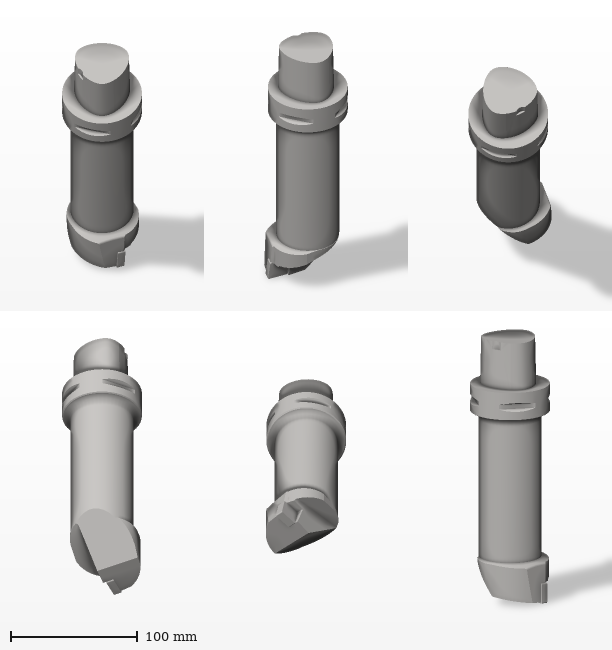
import cadquery as cq
import math


coupling_height = 38.0
coupling_base_radius = 22.2
coupling_top_radius = 21.3
lobe_height = 1.5
side_half_angle = 23
curve_steps = 8
notch_radius = 5.5
notch_axis_y = -23.6
notch_depth = 6.5

flange_radius = 63.0 / 2
flange_height = 22.2
neck_radius = 50.0 / 2
rim_chamfer = 0.6
neck_fillet = 5.5
groove_count = 4
groove_z = -12.0
groove_floor_distance = 28.0
groove_floor_height = 3.8
groove_mouth_height = 7.2

tip_z = coupling_height - 213
shoulder_z = -140.8
shoulder_slope = 0.33
shoulder_reach = 42.5
shoulder_fillet = 1.7
shoulder_edge_point = (30.2, -7.5, -143.1)
head_front_y = -28.8
head_back_y = 25.3
front_flat_end_x = 5.1
back_flat_end_x = 12.8
left_arc_radius = 22.4
right_arc_radius = 31.0
right_arc_end_y = -3.2
back_arc_start = (30.9, 3.8)
back_arc_middle = (25.5, 17.0)
land_radius = 25.3
land_end_angle = 140
reach = 127.8

slant_top_x = -neck_radius
slant_top_z = -133.0
slant_slope = 1.297

flute_roof_x = -19.4
flute_roof_z = -140.2
flute_roof_slope = 0.36
flute_wall_y = 5.1
flute_wall_z = -172.5
flute_wall_slope = 0.28
flute_fillet = 2.1

end_face_point = (4.7, 5.3, -171.7)
end_face_slope = 0.1
side_face_point = (28.1, -18.3, -143.5)
side_face_slope_y = 0.19
side_face_slope_z = 0.08

insert_tip = (35.0, 0.5, tip_z)
insert_tilt = 0.105
insert_edge = 16.0
insert_edge_angle = 5
insert_thickness = 6.4
insert_corner_radius = 0.9
seat_headroom = 8.5


def lobe_point(mean_radius, degrees):
    """Point of a constant-width three-lobed curve with one lobe toward +Y."""
    angle = math.radians(degrees)
    phase = 3 * (angle - math.pi / 2)
    support = mean_radius + lobe_height * math.cos(phase)
    slide = -3 * lobe_height * math.sin(phase)
    return (
        support * math.cos(angle) - slide * math.sin(angle),
        support * math.sin(angle) + slide * math.cos(angle),
    )


def draw_lobed_outline(sketch, mean_radius):
    """Three shallow sides and three lobes, each one curve."""
    side_start = -90 - side_half_angle
    side_span = 2 * side_half_angle
    lobe_span = 120 - side_span
    outline = sketch.moveTo(*lobe_point(mean_radius, side_start))
    for side in range(3):
        start = side_start + 120 * side
        for span in (side_span, lobe_span):
            steps = [start + span * i / curve_steps for i in range(1, curve_steps + 1)]
            outline = outline.spline([lobe_point(mean_radius, step) for step in steps],
                                     includeCurrent=True)
            start += span
    return outline.close()


def make_coupling():
    base = draw_lobed_outline(cq.Workplane("XY"), coupling_base_radius)
    top_plane = base.workplane(offset=coupling_height)
    shank = draw_lobed_outline(top_plane, coupling_top_radius).loft(ruled=True)
    notch = (
        cq.Workplane("XY", origin=(0, notch_axis_y, coupling_height - notch_depth))
        .circle(notch_radius).extrude(notch_depth)
    )
    return shank.cut(notch)


def make_flange_and_neck():
    arc_top_z = -flange_height - rim_chamfer
    arc_top_radius = neck_radius + neck_fillet
    arc_offset = neck_fillet * (1 - math.sqrt(0.5))
    return (
        cq.Workplane("XZ")
        .moveTo(0, 0)
        .lineTo(flange_radius, 0)
        .lineTo(flange_radius, -flange_height)
        .lineTo(arc_top_radius, arc_top_z)
        .threePointArc((neck_radius + arc_offset, arc_top_z - arc_offset),
                       (neck_radius, arc_top_z - neck_fillet))
        .lineTo(neck_radius, tip_z)
        .lineTo(0, tip_z)
        .close()
        .revolve(360, (0, 0), (0, 1))
    )


def make_groove(angle):
    """Straight trapezoidal groove across the flange rim."""
    rim_depth = flange_radius - groove_floor_distance
    return (
        cq.Workplane("XZ")
        .moveTo(groove_floor_distance, groove_z - groove_floor_height / 2)
        .lineTo(groove_floor_distance + rim_depth, groove_z - groove_mouth_height / 2)
        .lineTo(groove_floor_distance + rim_depth, groove_z + groove_mouth_height / 2)
        .lineTo(groove_floor_distance, groove_z + groove_floor_height / 2)
        .close()
        .extrude(flange_radius, both=True)
        .rotate((0, 0, 0), (0, 0, 1), angle)
    )


def make_head_block():
    """Off-centre head under a conical shoulder."""
    left_center_y = head_front_y + left_arc_radius
    right_center_y = head_front_y + right_arc_radius
    half = math.sqrt(0.5)
    rise = right_arc_end_y - right_center_y
    right_arc_end_x = front_flat_end_x + math.sqrt(right_arc_radius**2 - rise**2)
    land_end = math.radians(land_end_angle)
    land_middle = math.radians((90 + land_end_angle) / 2)
    block = (
        cq.Workplane("XY", origin=(0, 0, tip_z))
        .moveTo(-left_arc_radius, left_center_y)
        .threePointArc((-left_arc_radius * half, left_center_y - left_arc_radius * half),
                       (0, head_front_y))
        .lineTo(front_flat_end_x, head_front_y)
        .threePointArc((front_flat_end_x + right_arc_radius * half,
                        right_center_y - right_arc_radius * half),
                       (right_arc_end_x, right_arc_end_y))
        .lineTo(*back_arc_start)
        .threePointArc(back_arc_middle, (back_flat_end_x, head_back_y))
        .lineTo(0, head_back_y)
        .threePointArc((land_radius * math.cos(land_middle), land_radius * math.sin(land_middle)),
                       (land_radius * math.cos(land_end), land_radius * math.sin(land_end)))
        .close()
        .extrude(shoulder_z - tip_z)
    )
    shoulder = (
        cq.Workplane("XZ")
        .moveTo(0, shoulder_z)
        .lineTo(neck_radius, shoulder_z)
        .lineTo(shoulder_reach, shoulder_z - shoulder_slope * (shoulder_reach - neck_radius))
        .lineTo(shoulder_reach, tip_z)
        .lineTo(0, tip_z)
        .close()
        .revolve(360, (0, 0), (0, 1))
    )
    side_relief = make_half_space(side_face_point, (1, -side_face_slope_y, side_face_slope_z))
    head = block.intersect(shoulder).cut(side_relief)
    shoulder_edge = cq.NearestToPointSelector(shoulder_edge_point)
    return head.edges(shoulder_edge).fillet(shoulder_fillet)


def make_half_space(point, normal):
    plane = cq.Plane(origin=point, normal=normal)
    return cq.Workplane(plane).rect(2 * reach, 2 * reach).extrude(reach)


def make_flute():
    """Space under a sloped roof and behind a leaning wall."""
    roof_normal = (-flute_roof_slope, 0, -1)
    wall_normal = (0, 1, -flute_wall_slope)
    under_roof = make_half_space((flute_roof_x, 0, flute_roof_z), roof_normal)
    behind_wall = make_half_space((0, flute_wall_y, flute_wall_z), wall_normal)
    flute = under_roof.intersect(behind_wall)
    corner = cq.Vector(*roof_normal).cross(cq.Vector(*wall_normal))
    return flute.edges(cq.ParallelDirSelector(corner)).fillet(flute_fillet)


def make_insert(extra_height=0):
    """Tilted rhombic plate; extra_height extends it above the rake face."""
    plane = cq.Plane(
        origin=insert_tip,
        xDir=(-1, insert_tilt, 0),
        normal=(insert_tilt, 1, -insert_tilt),
    )
    low = math.radians(insert_edge_angle)
    high = math.radians(90 - insert_edge_angle)
    low_corner = (insert_edge * math.cos(low), insert_edge * math.sin(low))
    high_corner = (insert_edge * math.cos(high), insert_edge * math.sin(high))
    far_corner = (low_corner[0] + high_corner[0], low_corner[1] + high_corner[1])
    return (
        cq.Workplane(plane).workplane(offset=-insert_thickness)
        .polyline([(0, 0), low_corner, far_corner, high_corner]).close()
        .extrude(insert_thickness + extra_height)
        .edges(cq.ParallelDirSelector(plane.zDir))
        .fillet(insert_corner_radius)
    )


def make_holder():
    holder = make_flange_and_neck().union(make_head_block())
    holder = holder.cut(make_half_space((slant_top_x, 0, slant_top_z), (-slant_slope, 0, -1)))
    holder = holder.cut(make_half_space(end_face_point, (-end_face_slope, -end_face_slope, -1)))
    holder = holder.cut(make_flute())
    for i in range(groove_count):
        holder = holder.cut(make_groove(45 + i * 360 / groove_count))
    holder = holder.union(make_coupling())
    return holder.cut(make_insert(seat_headroom))


holder = make_holder()
insert = make_insert()
result = cq.Compound.makeCompound([holder.val(), insert.val()])